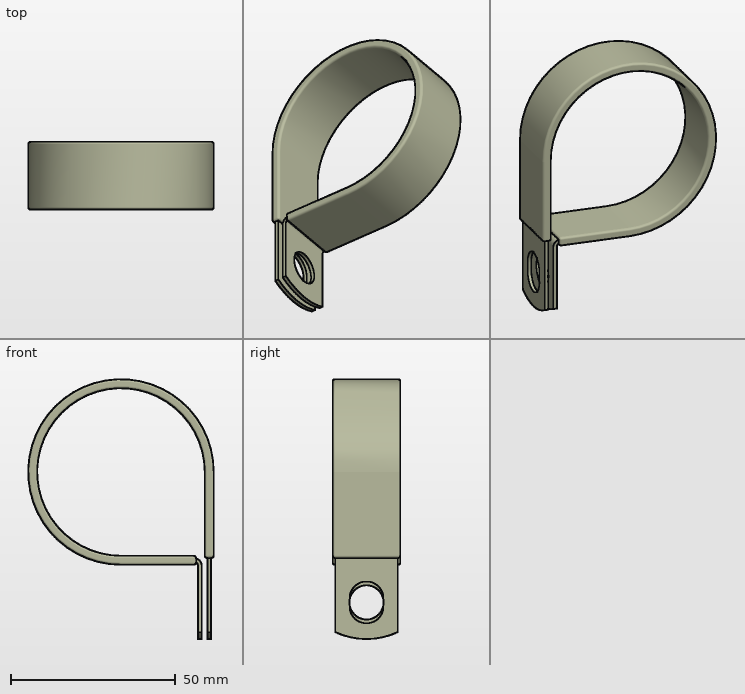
import cadquery as cq
import math

loop_bore_radius = 25.4
cushion_thickness = 2.805
cushion_width = 20.64
cushion_edge_radius = 0.77
bottom_leg_end_x = 22.8
side_leg_end_z = -26.13

strap_thickness = 1.2
strap_width = 19.05
bend_inner_radius = 1.05
tab_gap = 1.65
tab_end_z = -50.775
tab_end_rise = 2.15
hole_diameter = 10.32
slot_length = 12.7
hole_center_z = -39.6

loop_outer_radius = loop_bore_radius + cushion_thickness
strap_radius = loop_bore_radius + cushion_thickness / 2
side_strap_inner_x = strap_radius - strap_thickness / 2
bent_tab_outer_x = side_strap_inner_x - tab_gap
bent_tab_mid_x = bent_tab_outer_x - strap_thickness / 2
bend_mid_radius = bend_inner_radius + strap_thickness / 2
bend_center_x = bent_tab_mid_x - bend_mid_radius
bend_center_z = -strap_radius - bend_mid_radius
diagonal = math.sqrt(0.5)


def loop_band(inner_radius, outer_radius, width, bottom_end_x, side_end_z):
    """Three-quarter ring with a straight leg on each end, centred on Y = 0."""
    return (
        cq.Workplane("XZ")
        .moveTo(outer_radius, side_end_z)
        .lineTo(outer_radius, 0)
        .threePointArc((-outer_radius * diagonal, outer_radius * diagonal), (0, -outer_radius))
        .lineTo(bottom_end_x, -outer_radius)
        .lineTo(bottom_end_x, -inner_radius)
        .lineTo(0, -inner_radius)
        .threePointArc((-inner_radius * diagonal, inner_radius * diagonal), (inner_radius, 0))
        .lineTo(inner_radius, side_end_z)
        .close()
        .extrude(width / 2, both=True)
    )


def make_cushion():
    """Cushion band with its long edges and both leg ends rounded."""
    band = loop_band(
        loop_bore_radius, loop_outer_radius, cushion_width, bottom_leg_end_x, side_leg_end_z
    )
    bottom_leg_end = cq.selectors.NearestToPointSelector((bottom_leg_end_x, 0, -strap_radius))
    side_leg_end = cq.selectors.NearestToPointSelector((strap_radius, 0, side_leg_end_z))
    rounded_faces = cq.selectors.StringSyntaxSelector("<Y or >Y") + bottom_leg_end + side_leg_end
    return band.faces(rounded_faces).edges().fillet(cushion_edge_radius)


def make_side_tab():
    """Straight tab that continues the side leg downward."""
    return (
        cq.Workplane("XY")
        .box(strap_thickness, strap_width, -tab_end_z, centered=(True, True, False))
        .translate((strap_radius, 0, tab_end_z))
    )


def make_bent_tab():
    """Tab that leaves the bottom leg and bends downward beside the side tab."""
    path = (
        cq.Workplane("XZ")
        .moveTo(0, -strap_radius)
        .lineTo(bend_center_x, -strap_radius)
        .threePointArc(
            (bend_center_x + bend_mid_radius * diagonal, bend_center_z + bend_mid_radius * diagonal),
            (bent_tab_mid_x, bend_center_z),
        )
        .lineTo(bent_tab_mid_x, tab_end_z)
    )
    return (
        cq.Workplane("YZ")
        .center(0, -strap_radius)
        .rect(strap_width, strap_thickness)
        .sweep(path)
    )


def make_tab_end_trim():
    """Tool spanning both tabs that leaves a bowed lower end."""
    half_width = strap_width / 2
    corner_z = tab_end_z + tab_end_rise
    return (
        cq.Workplane("YZ")
        .moveTo(-half_width, corner_z)
        .threePointArc((0, tab_end_z), (half_width, corner_z))
        .lineTo(half_width, tab_end_z)
        .lineTo(-half_width, tab_end_z)
        .close()
        .extrude(loop_outer_radius)
    )


def make_bent_tab_hole():
    """Round bolt hole tool through the bent tab only."""
    return (
        cq.Workplane("YZ", origin=(bent_tab_outer_x - strap_thickness, 0, hole_center_z))
        .circle(hole_diameter / 2)
        .extrude(strap_thickness)
    )


def make_side_tab_slot():
    """Vertical slot tool through the side tab, centred on the round hole."""
    return (
        cq.Workplane("YZ", origin=(side_strap_inner_x, 0, hole_center_z))
        .slot2D(slot_length, hole_diameter, 90)
        .extrude(strap_thickness)
    )


result = (
    make_cushion()
    .union(make_side_tab())
    .union(make_bent_tab())
    .cut(make_tab_end_trim())
    .cut(make_bent_tab_hole())
    .cut(make_side_tab_slot())
)